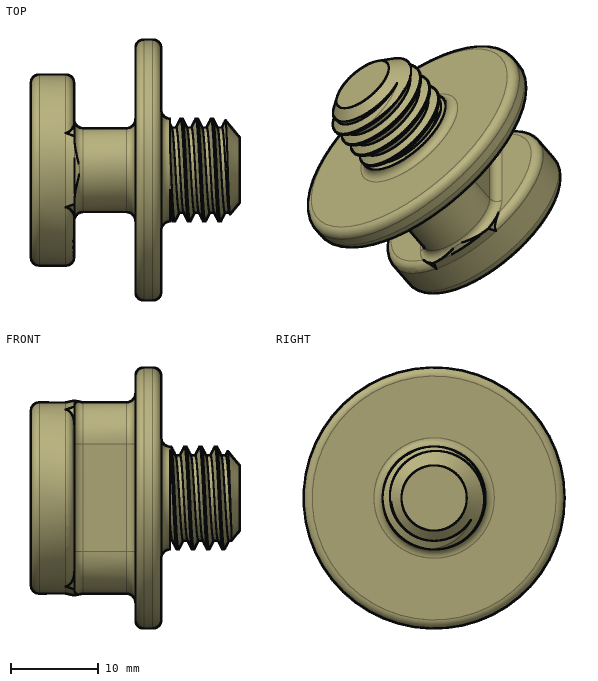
import cadquery as cq
import math

HEAD_END = 5.0
FLANGE_START = 12.0
FLANGE_END = 15.0
THREAD_START = 16.0
TOTAL_LENGTH = 24.0

HEAD_DIAMETER = 22.0
FLANGE_DIAMETER = 30.0
EDGE_RADIUS = 1.0

NECK_WIDTH = 9.66
NECK_HEIGHT = HEAD_DIAMETER
BULGE_HEIGHT = 0.2

MAJOR_DIAMETER = 11.83
MINOR_DIAMETER = 9.84
PITCH = 1.75
CREST_WIDTH = PITCH / 8
ROOT_WIDTH = 0.52
END_DIAMETER = 7.5
CHAMFER_LENGTH = 1.8
CUTTER_OVERLAP = 0.1


def disc(start, end, diameter):
    """Cylinder along X between two positions."""
    return cq.Workplane("YZ").workplane(offset=start).circle(diameter / 2).extrude(end - start)


def rounded_disc(start, end, diameter):
    """Cylinder along X with both rims rounded."""
    return disc(start, end, diameter).edges().fillet(EDGE_RADIUS)


def obround(start, end, margin=0.0):
    """Neck section along X, grown outwards by a margin."""
    return (
        cq.Workplane("YZ")
        .workplane(offset=start)
        .slot2D(NECK_HEIGHT + 2 * margin, NECK_WIDTH + 2 * margin, 90)
        .extrude(end - start)
    )


def flare(face, direction):
    """Concave blend around the neck where it leaves a flat face; direction is +1 or -1 along X."""
    base = face - direction * EDGE_RADIUS
    tip = face + direction * EDGE_RADIUS
    stem_end = face + direction * 2 * EDGE_RADIUS
    pad = obround(min(face, base), max(face, base), 2 * EDGE_RADIUS)
    stem = obround(min(face, stem_end), max(face, stem_end))
    reach = EDGE_RADIUS / 2
    half_width = NECK_WIDTH / 2 + reach
    half_height = NECK_HEIGHT / 2 + reach
    junction = cq.selectors.BoxSelector(
        (face - reach, -half_width, -half_height),
        (face + reach, half_width, half_height),
        boundingbox=True,
    )
    blended = pad.union(stem).edges(junction).fillet(EDGE_RADIUS)
    return blended.intersect(obround(min(base, tip), max(base, tip), EDGE_RADIUS))


def head_flare():
    """Blend from neck to head, trimmed to a slight bulge over the head rim."""
    rim = HEAD_DIAMETER / 2
    start = HEAD_END - EDGE_RADIUS
    end = HEAD_END + EDGE_RADIUS
    envelope = (
        cq.Workplane("XY")
        .moveTo(start, 0)
        .lineTo(start, rim)
        .lineTo(HEAD_END, rim + BULGE_HEIGHT)
        .lineTo(end, rim)
        .lineTo(end, 0)
        .close()
        .revolve(360, (0, 0, 0), (1, 0, 0))
    )
    return flare(HEAD_END, 1).intersect(envelope)


def collar():
    """Plain foot of the stud with a concave blend into the flange."""
    shank = MAJOR_DIAMETER / 2
    arc_offset = EDGE_RADIUS * (1 - math.sqrt(0.5))
    return (
        cq.Workplane("XY")
        .moveTo(FLANGE_END, 0)
        .lineTo(FLANGE_END, shank + EDGE_RADIUS)
        .threePointArc((FLANGE_END + arc_offset, shank + arc_offset), (THREAD_START, shank))
        .lineTo(THREAD_START, 0)
        .close()
        .revolve(360, (0, 0, 0), (1, 0, 0))
    )


def shank_blank():
    """Unthreaded shank with a chamfer at its end."""
    shank = MAJOR_DIAMETER / 2
    return (
        cq.Workplane("XY")
        .moveTo(THREAD_START, 0)
        .lineTo(THREAD_START, shank)
        .lineTo(TOTAL_LENGTH - CHAMFER_LENGTH, shank)
        .lineTo(TOTAL_LENGTH, END_DIAMETER / 2)
        .lineTo(TOTAL_LENGTH, 0)
        .close()
        .revolve(360, (0, 0, 0), (1, 0, 0))
    )


def thread_groove():
    """Right-hand helical groove along X, running past both ends of the shank."""
    root = MINOR_DIAMETER / 2
    crest = MAJOR_DIAMETER / 2
    flank_run = (PITCH - CREST_WIDTH - ROOT_WIDTH) / 2
    outer = crest + CUTTER_OVERLAP
    outer_half_width = ROOT_WIDTH / 2 + flank_run * (outer - root) / (crest - root)

    first_groove = THREAD_START - PITCH
    turns = math.ceil((TOTAL_LENGTH - first_groove) / PITCH) + 1
    path = cq.Wire.makeHelix(PITCH, turns * PITCH, root)
    return (
        cq.Workplane("XZ")
        .polyline(
            [
                (root, -ROOT_WIDTH / 2),
                (outer, -outer_half_width),
                (outer, outer_half_width),
                (root, ROOT_WIDTH / 2),
            ]
        )
        .close()
        .sweep(cq.Workplane(obj=path), isFrenet=True)
        .rotate((0, 0, 0), (0, 1, 0), 90)
        .translate((first_groove, 0, 0))
    )


head = rounded_disc(0, HEAD_END, HEAD_DIAMETER)
neck = obround(HEAD_END, FLANGE_START)
flange = rounded_disc(FLANGE_START, FLANGE_END, FLANGE_DIAMETER)
stud = collar().union(shank_blank().cut(thread_groove(), clean=False))

result = (
    head.union(head_flare())
    .union(neck)
    .union(flare(FLANGE_START, -1))
    .union(flange)
    .union(stud)
)